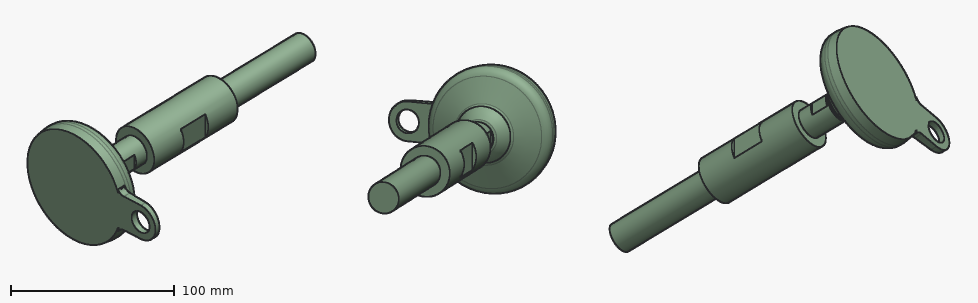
import cadquery as cq
import math

OVERALL_LENGTH = 206.5
OVERALL_WIDTH = 108.0
FOOT_DIAMETER = 80.0

RIM_RADIUS = FOOT_DIAMETER / 2
BASE_RADIUS = 39.0
TAPER_TOP = 6.5
RIM_TOP = 8.9
SHOULDER_RADIUS = 7.5
CONE_ANGLE = 21.5
CONE_TOP = 22.0
SEAT_HEIGHT = 23.1
SEAT_RADIUS = 17.8

LUG_WIDTH = 25.0
LUG_RADIUS = LUG_WIDTH / 2
LUG_REACH = OVERALL_WIDTH - RIM_RADIUS
LUG_CENTRE = LUG_REACH - LUG_RADIUS
LUG_HOLE_RADIUS = 7.5
LUG_TIP_THICKNESS = 3.7
LUG_RIM_THICKNESS = 5.5
LUG_FILLET = 5.0

ROD_RADIUS = 10.0
DOME_RADIUS = 20.5
DOME_TOP = 30.1
GROOVE_TOP = 32.0
GROOVE_RADIUS = 8.7
ROD_FLATS_WIDTH = 17.0
ROD_FLATS_START = 33.2
ROD_FLATS_LENGTH = 12.0

SLEEVE_DIAMETER = 32.0
SLEEVE_RADIUS = SLEEVE_DIAMETER / 2
SLEEVE_START = 55.0
SLEEVE_LENGTH = 75.0
SLEEVE_FLATS_WIDTH = 27.0
SLEEVE_FLATS_LENGTH = 22.0


def revolve_about_y(profile):
    return profile.close().revolve(360, (0, 0, 0), (0, 1, 0))


def cylinder_along_y(radius, start, length):
    return cq.Workplane("XZ", origin=(0, start, 0)).circle(radius).extrude(-length)


def cut_flats(body, radius, width, start, length):
    """Cut a spanner flat on the -X and +X sides of a round body."""
    depth = radius - width / 2
    for side in (-1, 1):
        cutter = cq.Workplane("XY").box(depth, length, 2 * radius)
        body = body.cut(cutter.translate((side * (width + depth) / 2, start + length / 2, 0)))
    return body


def shoulder_point(angle):
    """Point on the shoulder arc, with the angle in degrees measured from its outer end."""
    turn = math.radians(angle)
    radius = RIM_RADIUS - SHOULDER_RADIUS * (1 - math.cos(turn))
    return (radius, RIM_TOP + SHOULDER_RADIUS * math.sin(turn))


def make_lug():
    """Rounded tab whose top slopes down toward its tip."""
    outline = (
        cq.Workplane("XZ")
        .moveTo(0, -LUG_RADIUS)
        .lineTo(LUG_CENTRE, -LUG_RADIUS)
        .threePointArc((LUG_REACH, 0), (LUG_CENTRE, LUG_RADIUS))
        .lineTo(0, LUG_RADIUS)
        .close()
        .extrude(-RIM_TOP)
    )
    fillet_height = LUG_RADIUS + LUG_FILLET
    fillet_x = math.sqrt((RIM_RADIUS + LUG_FILLET) ** 2 - fillet_height**2)
    rim_share = RIM_RADIUS / (RIM_RADIUS + LUG_FILLET)
    web = cq.Workplane("XZ").rect(2 * fillet_x, 2 * fillet_height * rim_share).extrude(-RIM_TOP)
    for side in (-1, 1):
        round_cutter = cq.Workplane("XZ").center(fillet_x, side * fillet_height)
        web = web.cut(round_cutter.circle(LUG_FILLET).extrude(-RIM_TOP))
    web = web.intersect(cq.Workplane("XY").box(2 * fillet_x, 2 * RIM_TOP, 2 * fillet_height)
                        .translate((fillet_x * (1 + rim_share), 0, 0)))

    slope = (LUG_RIM_THICKNESS - LUG_TIP_THICKNESS) / (LUG_REACH - RIM_RADIUS)
    centre_thickness = LUG_RIM_THICKNESS + slope * RIM_RADIUS
    side_profile = (
        cq.Workplane("XY")
        .polyline([(0, 0), (LUG_REACH, 0), (LUG_REACH, LUG_TIP_THICKNESS), (0, centre_thickness)])
        .close()
        .extrude(fillet_height, both=True)
    )
    return outline.union(web).intersect(side_profile)


def make_foot():
    cone_start = shoulder_point(90 - CONE_ANGLE)
    cone_run = (CONE_TOP - cone_start[1]) / math.tan(math.radians(CONE_ANGLE))
    disc = revolve_about_y(
        cq.Workplane("XY")
        .moveTo(0, 0)
        .lineTo(BASE_RADIUS, 0)
        .lineTo(RIM_RADIUS, TAPER_TOP)
        .lineTo(RIM_RADIUS, RIM_TOP)
        .threePointArc(shoulder_point((90 - CONE_ANGLE) / 2), cone_start)
        .lineTo(cone_start[0] - cone_run, CONE_TOP)
        .lineTo(SEAT_RADIUS, SEAT_HEIGHT)
        .lineTo(0, SEAT_HEIGHT)
    )
    hole = cylinder_along_y(LUG_HOLE_RADIUS, 0, RIM_TOP).translate((LUG_CENTRE, 0, 0))
    return disc.union(make_lug()).cut(hole)


def make_spindle():
    """Rod standing on a domed head, with a V groove between the two."""
    dome_centre = SEAT_HEIGHT - math.sqrt(DOME_RADIUS**2 - SEAT_RADIUS**2)

    def dome_point(height):
        return (math.sqrt(DOME_RADIUS**2 - (height - dome_centre) ** 2), height)

    body = revolve_about_y(
        cq.Workplane("XY")
        .moveTo(0, SEAT_HEIGHT)
        .lineTo(SEAT_RADIUS, SEAT_HEIGHT)
        .threePointArc(dome_point((SEAT_HEIGHT + DOME_TOP) / 2), dome_point(DOME_TOP))
        .lineTo(GROOVE_RADIUS, (DOME_TOP + GROOVE_TOP) / 2)
        .lineTo(ROD_RADIUS, GROOVE_TOP)
        .lineTo(ROD_RADIUS, OVERALL_LENGTH)
        .lineTo(0, OVERALL_LENGTH)
    )
    return cut_flats(body, ROD_RADIUS, ROD_FLATS_WIDTH, ROD_FLATS_START, ROD_FLATS_LENGTH)


def make_sleeve():
    """Tube around the rod, with spanner flats at mid-length."""
    body = cylinder_along_y(SLEEVE_RADIUS, SLEEVE_START, SLEEVE_LENGTH)
    bore = cylinder_along_y(ROD_RADIUS, SLEEVE_START, SLEEVE_LENGTH)
    flats_start = SLEEVE_START + (SLEEVE_LENGTH - SLEEVE_FLATS_LENGTH) / 2
    body = cut_flats(body, SLEEVE_RADIUS, SLEEVE_FLATS_WIDTH, flats_start, SLEEVE_FLATS_LENGTH)
    return body.cut(bore)


foot = make_foot()
spindle = make_spindle()
sleeve = make_sleeve()

result = cq.Compound.makeCompound([foot.val(), spindle.val(), sleeve.val()])